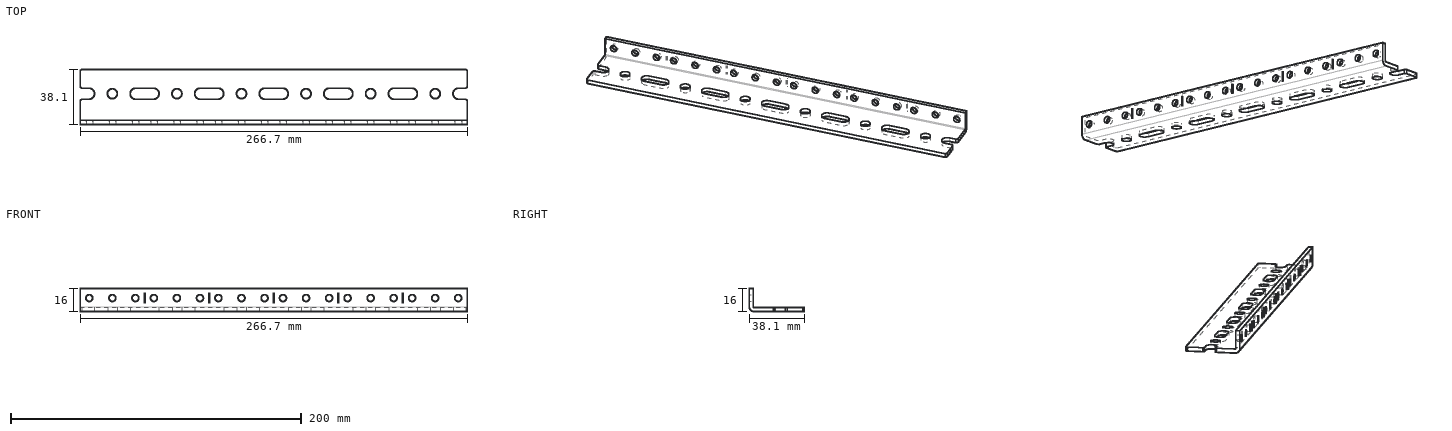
import cadquery as cq

length = 266.7
depth = 38.1
height = 16.0
thickness = 3.0
inner_bend_radius = 0.5
outer_bend_radius = inner_bend_radius + thickness

unit_count = 6
unit_pitch = length / unit_count
end_margin = unit_pitch / 7
hole_spacing = (unit_pitch - 2 * end_margin) / 2

rack_hole_diameter = 4.5
rack_hole_z = 9.3
mark_width = 0.8
mark_height = 6.7
mark_depth = 0.3

base_row_y = 21.3
base_hole_diameter = 6.7
slot_length = 19.7
slot_width = 7.5
corner_chamfer = 1.0


def angle_profile():
    """L-section with its bend along the front lower edge."""
    profile = (
        cq.Workplane("YZ")
        .polyline([
            (0, 0),
            (depth, 0),
            (depth, thickness),
            (thickness, thickness),
            (thickness, height),
            (0, height),
        ])
        .close()
        .extrude(length)
    )
    inner_edge = cq.selectors.NearestToPointSelector((length / 2, thickness, thickness))
    outer_edge = cq.selectors.NearestToPointSelector((length / 2, 0, 0))
    profile = profile.edges(inner_edge).fillet(inner_bend_radius)
    return profile.edges(outer_edge).fillet(outer_bend_radius)


def rack_holes():
    """Three through holes per rack unit in the upright flange."""
    centers = [
        (unit * unit_pitch + end_margin + hole * hole_spacing, rack_hole_z)
        for unit in range(unit_count)
        for hole in range(3)
    ]
    return (
        cq.Workplane("XZ")
        .pushPoints(centers)
        .circle(rack_hole_diameter / 2)
        .extrude(-thickness)
    )


def unit_marks():
    """Shallow round-ended upright grooves at the boundaries between rack units."""
    centers = [(unit * unit_pitch, rack_hole_z) for unit in range(1, unit_count)]
    return (
        cq.Workplane("XZ")
        .pushPoints(centers)
        .slot2D(mark_height, mark_width, 90)
        .extrude(-mark_depth)
    )


def base_holes():
    """One round through hole at the middle of each rack unit."""
    centers = [((unit + 0.5) * unit_pitch, base_row_y) for unit in range(unit_count)]
    return (
        cq.Workplane("XY")
        .pushPoints(centers)
        .circle(base_hole_diameter / 2)
        .extrude(thickness)
    )


def base_slots():
    """Slots at every unit boundary; the two end ones become open notches."""
    centers = [(unit * unit_pitch, base_row_y) for unit in range(unit_count + 1)]
    return (
        cq.Workplane("XY")
        .pushPoints(centers)
        .slot2D(slot_length, slot_width)
        .extrude(thickness)
    )


def chamfer_base_corners(rail):
    """Chamfer the rear corners and the mouths of the end notches."""
    for x in (0, length):
        for y in (base_row_y - slot_width / 2, base_row_y + slot_width / 2, depth):
            corner = cq.selectors.NearestToPointSelector((x, y, thickness / 2))
            rail = rail.edges("|Z").edges(corner).chamfer(corner_chamfer)
    return rail


rail = angle_profile().cut(rack_holes()).cut(unit_marks()).cut(base_holes()).cut(base_slots())
rail = chamfer_base_corners(rail)
result = rail.translate((-length / 2, -depth / 2, -height / 2))